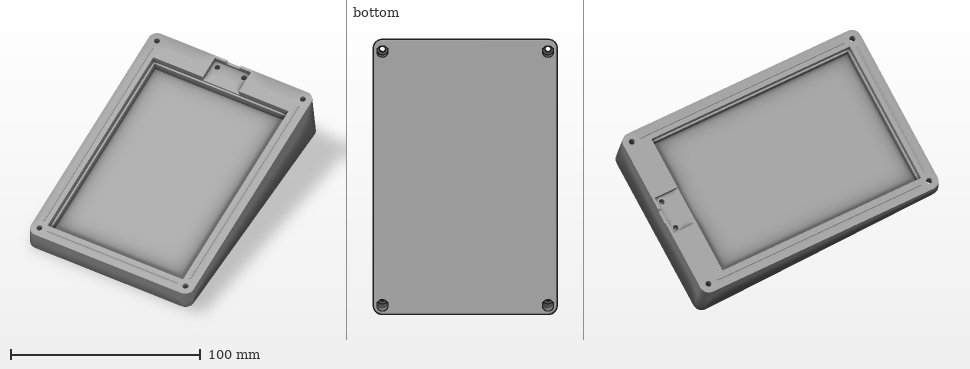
import cadquery as cq
import math

width = 97.2
depth = 145.3
height = 30.8
slope_angle = 8.0
corner_radius = 5.0
base_radius = 1.0

pocket_width = 80.9
pocket_length = 119.3
pocket_front_margin = 8.1
ledge_width = 1.0
ledge_depth = 4.0
pocket_depth = 9.0

recess_width = 21.6
recess_depth = 3.0
recess_wall = 1.5
pin_hole_diameter = 3.0
pin_hole_depth = 4.4
pin_hole_spacing = 15.8
pin_hole_setback = 3.0
port_width = 8.5
port_height = 3.0

screw_diameter = 3.2
screw_head_diameter = 6.0
screw_neck = 3.0
ridge_width = 1.0
ridge_gap = 5.0

slope = math.radians(slope_angle)
foot_depth = depth + base_radius * (math.tan(slope) + 1 / math.cos(slope) - 1)
top_length = (foot_depth - height * math.tan(slope)) / math.cos(slope)
front_height = height - top_length * math.sin(slope)
front_y = -depth / 2
rear_top_y = front_y + top_length * math.cos(slope)
foot_y = front_y + foot_depth

top_plane = cq.Plane(
    origin=(0, front_y, front_height),
    xDir=(1, 0, 0),
    normal=(0, -math.sin(slope), math.cos(slope)),
)
clearance = 2.9

screw_x = width / 2 - corner_radius
screw_front = corner_radius
screw_rear = top_length - corner_radius
pocket_rear = pocket_front_margin + pocket_length
recess_rear = top_length - recess_wall


def make_body():
    side_profile = [
        (front_y, 0),
        (foot_y, 0),
        (rear_top_y, height),
        (front_y, front_height),
    ]
    body = cq.Workplane("YZ").polyline(side_profile).close().extrude(width / 2, both=True)
    body = body.edges("|Z").fillet(corner_radius)
    body = body.edges(cq.selectors.ParallelDirSelector(top_plane.zDir)).fillet(corner_radius)
    return body.faces("<Z").edges().fillet(base_radius)


def top_box(box_width, start, end, box_depth):
    """Block sunk into the top between two distances up the slope."""
    return (
        cq.Workplane(top_plane)
        .center(0, (start + end) / 2)
        .rect(box_width, end - start)
        .extrude(-box_depth)
    )


def top_cylinders(points, diameter, start_depth, end_depth):
    """Cylinders square to the top, spanning two depths below it."""
    return (
        cq.Workplane(top_plane)
        .workplane(offset=-start_depth)
        .pushPoints(points)
        .circle(diameter / 2)
        .extrude(start_depth - end_depth)
    )


def cut_pocket(body):
    body = body.cut(top_box(pocket_width, pocket_front_margin, pocket_rear, ledge_depth))
    return body.cut(
        top_box(
            pocket_width - 2 * ledge_width,
            pocket_front_margin + ledge_width,
            pocket_rear - ledge_width,
            pocket_depth,
        )
    )


def cut_connector_recess(body):
    body = body.cut(top_box(recess_width, pocket_rear - ledge_width, recess_rear, recess_depth))
    pin_y = recess_rear - pin_hole_setback
    pins = [(side * pin_hole_spacing / 2, pin_y) for side in (-1, 1)]
    body = body.cut(top_cylinders(pins, pin_hole_diameter, recess_depth, recess_depth + pin_hole_depth))
    port_plane = cq.Plane(
        origin=top_plane.toWorldCoords((0, recess_rear, 0)),
        xDir=(1, 0, 0),
        normal=top_plane.yDir.multiply(-1),
    )
    port = cq.Workplane(port_plane).slot2D(port_width, port_height).extrude(-recess_wall - clearance)
    return body.cut(port)


def cut_screw_holes(body):
    points = [(side * screw_x, y) for side in (-1, 1) for y in (screw_front, screw_rear)]
    body = body.cut(top_cylinders(points, screw_diameter, 0, screw_neck))
    return body.cut(top_cylinders(points, screw_head_diameter, screw_neck, height + clearance))


def add_ridges(body):
    """Half-round ridges standing on the top along both sides and the front."""
    side_length = screw_rear - screw_front - 2 * ridge_gap
    front_length = 2 * (screw_x - ridge_gap)
    across = top_plane.xDir
    uphill = top_plane.yDir
    side_start = screw_front + ridge_gap
    runs = [
        ((-screw_x, side_start, 0), uphill, side_length),
        ((screw_x, side_start, 0), uphill, side_length),
        ((-front_length / 2, screw_front, 0), across, front_length),
    ]
    for start, direction, length in runs:
        origin = top_plane.toWorldCoords(start)
        body = body.union(cq.Solid.makeCylinder(ridge_width / 2, length, origin, direction))
    return body


result = make_body()
result = cut_pocket(result)
result = cut_connector_recess(result)
result = cut_screw_holes(result)
result = add_ridges(result)